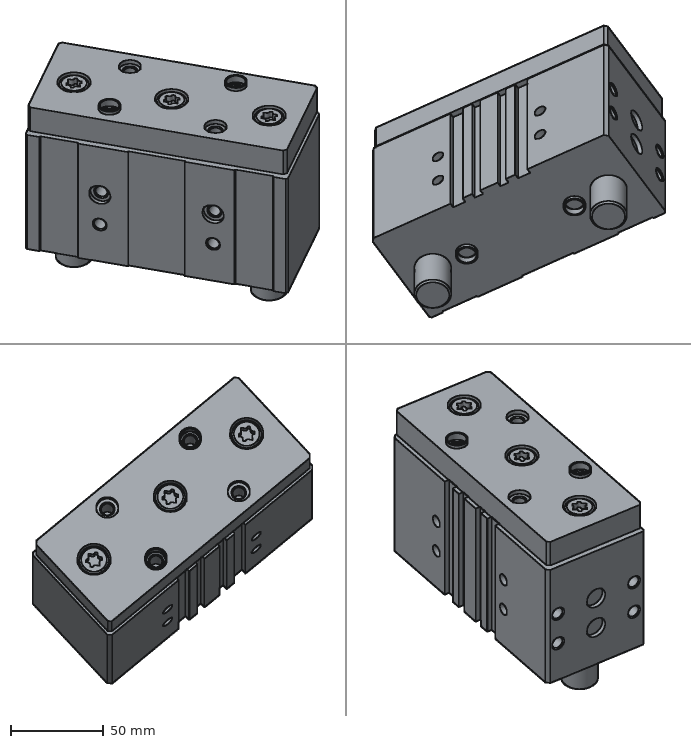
import cadquery as cq
import math


HOUSING_X = 148
HOUSING_Y = 64.1
HOUSING_Z = 76.8
REAR_CORNER_CHAMFER = 1.9
FRONT_CORNER_CHAMFER = 1.0

FRONT_RECESS_DEPTH = 0.7
MIDDLE_RECESS_HALF_WIDTH = 16.0
SIDE_RECESS_INNER_X = 44.0
SIDE_RECESS_OUTER_X = 66.2
RECESS_FLANK_WIDTH = 0.6

SLOT_DEPTH = 3
SENSOR_SLOT_INNER_X = 5.5
SENSOR_SLOT_OUTER_X = 10.5
WIDE_SLOT_INNER_X = 16.6
WIDE_SLOT_OUTER_X = 24.1
SLOT_EDGE_CHAMFER = 0.5

LOWER_ROW_Z = 24.9
UPPER_ROW_Z = 44.8
FRONT_HOLE_X = 32.0
SIDE_HOLE_Y = 25.0
SIDE_HOLE_DEPTH = 14.8
DRILL_TIP_ANGLE = 118
HOLE_DIAMETER = 6.7
HOLE_MOUTH_DIAMETER = 8.0

CENTRING_DIAMETER = 12.0
CENTRING_DEPTH = 2.7
SLEEVE_PROTRUSION = 2.4
SLEEVE_BORE = 10.4
SLEEVE_CHAMFER = 0.3
BOTTOM_SLEEVE_X = 33.7

ROD_Y = -2.2
ROD_X = 55.0
ROD_DIAMETER = 20.0
ROD_OVERHANG = 23.1
ROD_END_CHAMFER = 1.0
PISTON_ROD_DIAMETER = 13.5
PISTON_ROD_INSERTION = 59.2
PLATE_X = 146.0
PLATE_Y = 62.0
PLATE_Z = 16.0
PLATE_CHAMFER = 1.6
PLATE_GAP = 2.0
PLATE_HOLE_X = 29.9
PLATE_HOLE_Y = 20.0

COUNTERBORE_DIAMETER = 18.0
COUNTERBORE_DEPTH = 11.0
HEAD_DIAMETER = 16.0
HEAD_CHAMFER_WIDTH = 1.0
HEAD_CHAMFER_HEIGHT = 0.6
HEAD_SINK = 0.6
SOCKET_LOBES = 6
SOCKET_TIP_RADIUS = 4.5
SOCKET_WAIST_RADIUS = 3.18
SOCKET_FLANK_RADIUS = 3.8
SOCKET_FLANK_ANGLE = 13
SOCKET_DEPTH = 3.7

PLATE_BOTTOM = HOUSING_Z + PLATE_GAP
PLATE_TOP = PLATE_BOTTOM + PLATE_Z
FRONT_Y = -HOUSING_Y / 2
REAR_Y = HOUSING_Y / 2
LEFT_X = -HOUSING_X / 2
ROW_HEIGHTS = [LOWER_ROW_Z, UPPER_ROW_Z]
ROD_PLACES = [(-ROD_X, ROD_Y), (ROD_X, ROD_Y)]
SCREW_PLACES = ROD_PLACES + [(0, ROD_Y)]
PLATE_HOLE_PLACES = [(x, y) for x in (-PLATE_HOLE_X, PLATE_HOLE_X) for y in (-PLATE_HOLE_Y, PLATE_HOLE_Y)]
TOP_SLEEVE_PLACES = [(-PLATE_HOLE_X, -PLATE_HOLE_Y), (PLATE_HOLE_X, PLATE_HOLE_Y)]
BOTTOM_SLEEVE_PLACES = [(-BOTTOM_SLEEVE_X, ROD_Y), (BOTTOM_SLEEVE_X, ROD_Y)]
ALONG_X = cq.Vector(1, 0, 0)
ALONG_Y = cq.Vector(0, 1, 0)
UP = cq.Vector(0, 0, 1)


def cylinder(diameter, length, start, direction):
    return cq.Workplane(cq.Solid.makeCylinder(diameter / 2, length, cq.Vector(*start), direction))


def hole_mouth(start, direction):
    """45-degree cone that widens the mouth of a mounting hole."""
    large = HOLE_MOUTH_DIAMETER / 2
    small = HOLE_DIAMETER / 2
    return cq.Workplane(cq.Solid.makeCone(large, small, large - small, cq.Vector(*start), direction))


def drilled_hole(start, direction):
    """Blind mounting hole with a widened mouth and a conical drill tip."""
    radius = HOLE_DIAMETER / 2
    tip_length = radius / math.tan(math.radians(DRILL_TIP_ANGLE / 2))
    tip_start = cq.Vector(*start) + direction * SIDE_HOLE_DEPTH
    tip = cq.Workplane(cq.Solid.makeCone(radius, 0, tip_length, tip_start, direction))
    shaft = cylinder(HOLE_DIAMETER, SIDE_HOLE_DEPTH, start, direction)
    return shaft.union(tip).union(hole_mouth(start, direction))


def front_recesses():
    floor_y = FRONT_Y + FRONT_RECESS_DEPTH
    middle = (
        cq.Workplane("XY")
        .moveTo(-MIDDLE_RECESS_HALF_WIDTH, FRONT_Y)
        .lineTo(MIDDLE_RECESS_HALF_WIDTH, FRONT_Y)
        .lineTo(MIDDLE_RECESS_HALF_WIDTH, floor_y)
        .lineTo(-MIDDLE_RECESS_HALF_WIDTH, floor_y)
        .close()
        .extrude(HOUSING_Z)
    )
    right = (
        cq.Workplane("XY")
        .moveTo(SIDE_RECESS_INNER_X, FRONT_Y)
        .lineTo(SIDE_RECESS_OUTER_X, FRONT_Y)
        .lineTo(SIDE_RECESS_OUTER_X - RECESS_FLANK_WIDTH, floor_y)
        .lineTo(SIDE_RECESS_INNER_X + RECESS_FLANK_WIDTH, floor_y)
        .close()
        .extrude(HOUSING_Z)
    )
    return middle.union(right).union(right.mirror("YZ"))


def rear_slots():
    floor_y = REAR_Y - SLOT_DEPTH
    sensor_slot = (
        cq.Workplane("XY")
        .moveTo(SENSOR_SLOT_INNER_X, REAR_Y)
        .lineTo(SENSOR_SLOT_OUTER_X, REAR_Y)
        .lineTo(SENSOR_SLOT_OUTER_X, floor_y)
        .lineTo(SENSOR_SLOT_INNER_X, floor_y)
        .close()
        .extrude(HOUSING_Z)
    )
    wide_slot = (
        cq.Workplane("XY")
        .moveTo(WIDE_SLOT_INNER_X - SLOT_EDGE_CHAMFER, REAR_Y)
        .lineTo(WIDE_SLOT_OUTER_X, REAR_Y)
        .lineTo(WIDE_SLOT_OUTER_X, floor_y)
        .lineTo(WIDE_SLOT_INNER_X, floor_y)
        .lineTo(WIDE_SLOT_INNER_X, REAR_Y - SLOT_EDGE_CHAMFER)
        .close()
        .extrude(HOUSING_Z)
    )
    right = sensor_slot.union(wide_slot)
    return right.union(right.mirror("YZ"))


def make_housing():
    body = cq.Workplane("XY").box(HOUSING_X, HOUSING_Y, HOUSING_Z, centered=(True, True, False))
    body = body.edges("|Z and >Y").chamfer(REAR_CORNER_CHAMFER)
    body = body.edges("|Z and <Y").chamfer(FRONT_CORNER_CHAMFER)
    body = body.cut(front_recesses()).cut(rear_slots())

    for x in (-FRONT_HOLE_X, FRONT_HOLE_X):
        for z in ROW_HEIGHTS:
            mouth_y = FRONT_Y
            if z == UPPER_ROW_Z:
                mouth_y = FRONT_Y + CENTRING_DEPTH
                body = body.cut(cylinder(CENTRING_DIAMETER, CENTRING_DEPTH, (x, FRONT_Y, z), ALONG_Y))
            body = body.cut(cylinder(HOLE_DIAMETER, HOUSING_Y, (x, FRONT_Y, z), ALONG_Y))
            body = body.cut(hole_mouth((x, mouth_y, z), ALONG_Y))

    for z in ROW_HEIGHTS:
        body = body.cut(cylinder(CENTRING_DIAMETER, CENTRING_DEPTH, (LEFT_X, 0, z), ALONG_X))
        for y in (-SIDE_HOLE_Y, SIDE_HOLE_Y):
            body = body.cut(drilled_hole((LEFT_X, y, z), ALONG_X))

    for x, y in ROD_PLACES:
        body = body.cut(cylinder(ROD_DIAMETER, HOUSING_Z, (x, y, 0), UP))
    piston_rod_end = HOUSING_Z - PISTON_ROD_INSERTION
    body = body.cut(cylinder(PISTON_ROD_DIAMETER, PISTON_ROD_INSERTION, (0, ROD_Y, piston_rod_end), UP))
    for x, y in BOTTOM_SLEEVE_PLACES:
        body = body.cut(cylinder(CENTRING_DIAMETER, CENTRING_DEPTH, (x, y, 0), UP))
    return body


def polar_point(radius, degrees):
    angle = math.radians(degrees)
    return (radius * math.cos(angle), radius * math.sin(angle))


def star_socket():
    """Six-lobed socket, centred on the Z axis, one lobe pointing along +Y."""
    lobe_pitch = 360 / SOCKET_LOBES
    outline = cq.Workplane("XY").moveTo(*polar_point(SOCKET_FLANK_RADIUS, 90 - SOCKET_FLANK_ANGLE))
    for lobe in range(SOCKET_LOBES):
        tip_angle = 90 + lobe * lobe_pitch
        lobe_end = polar_point(SOCKET_FLANK_RADIUS, tip_angle + SOCKET_FLANK_ANGLE)
        next_lobe = polar_point(SOCKET_FLANK_RADIUS, tip_angle + lobe_pitch - SOCKET_FLANK_ANGLE)
        outline = outline.threePointArc(polar_point(SOCKET_TIP_RADIUS, tip_angle), lobe_end)
        outline = outline.threePointArc(polar_point(SOCKET_WAIST_RADIUS, tip_angle + lobe_pitch / 2), next_lobe)
    return outline.close().extrude(SOCKET_DEPTH)


def screw_head():
    """Chamfered round head standing on Z = 0, with a star socket in its top."""
    height = COUNTERBORE_DEPTH - HEAD_SINK
    head = cq.Workplane("XY").circle(HEAD_DIAMETER / 2).extrude(height - HEAD_CHAMFER_HEIGHT)
    rim_cone = cq.Solid.makeCone(
        HEAD_DIAMETER / 2,
        HEAD_DIAMETER / 2 - HEAD_CHAMFER_WIDTH,
        HEAD_CHAMFER_HEIGHT,
        cq.Vector(0, 0, height - HEAD_CHAMFER_HEIGHT),
        UP,
    )
    head = head.union(cq.Workplane(rim_cone))
    return head.cut(star_socket().translate((0, 0, height - SOCKET_DEPTH)))


def make_plate():
    plate = cq.Workplane("XY").box(PLATE_X, PLATE_Y, PLATE_Z, centered=(True, True, False))
    plate = plate.edges("|Z").chamfer(PLATE_CHAMFER).translate((0, 0, PLATE_BOTTOM))
    recess_floor = PLATE_TOP - CENTRING_DEPTH
    for x, y in PLATE_HOLE_PLACES:
        plate = plate.cut(cylinder(HOLE_DIAMETER, PLATE_Z, (x, y, PLATE_BOTTOM), UP))
        plate = plate.cut(cylinder(CENTRING_DIAMETER, CENTRING_DEPTH, (x, y, recess_floor), UP))
        plate = plate.cut(hole_mouth((x, y, recess_floor), -UP))
    return plate


def make_moving_unit():
    """Plate, screw heads and the three rods as one rigid body."""
    unit = make_plate()
    counterbore_floor = PLATE_TOP - COUNTERBORE_DEPTH
    head = screw_head()
    for x, y in SCREW_PLACES:
        unit = unit.cut(cylinder(COUNTERBORE_DIAMETER, COUNTERBORE_DEPTH, (x, y, counterbore_floor), UP))
        unit = unit.union(head.translate((x, y, counterbore_floor)))
    for x, y in ROD_PLACES:
        rod = cylinder(ROD_DIAMETER, PLATE_BOTTOM + ROD_OVERHANG, (x, y, -ROD_OVERHANG), UP)
        unit = unit.union(rod.faces("<Z").chamfer(ROD_END_CHAMFER))
    piston_rod_length = PISTON_ROD_INSERTION + PLATE_GAP
    piston_rod_end = PLATE_BOTTOM - piston_rod_length
    return unit.union(cylinder(PISTON_ROD_DIAMETER, piston_rod_length, (0, ROD_Y, piston_rod_end), UP))


def make_sleeve(x, y, bottom_z):
    """Centring ring with all its edges chamfered."""
    height = CENTRING_DEPTH + SLEEVE_PROTRUSION
    ring = cq.Workplane("XY").circle(CENTRING_DIAMETER / 2).circle(SLEEVE_BORE / 2).extrude(height)
    ring = ring.faces("<Z or >Z").chamfer(SLEEVE_CHAMFER)
    return ring.translate((x, y, bottom_z))


housing = make_housing()
moving_unit = make_moving_unit()
top_sleeves = [make_sleeve(x, y, PLATE_TOP - CENTRING_DEPTH) for x, y in TOP_SLEEVE_PLACES]
bottom_sleeves = [make_sleeve(x, y, -SLEEVE_PROTRUSION) for x, y in BOTTOM_SLEEVE_PLACES]
sleeves = [sleeve.val() for sleeve in top_sleeves + bottom_sleeves]

result = cq.Compound.makeCompound([housing.val(), moving_unit.val(), *sleeves])